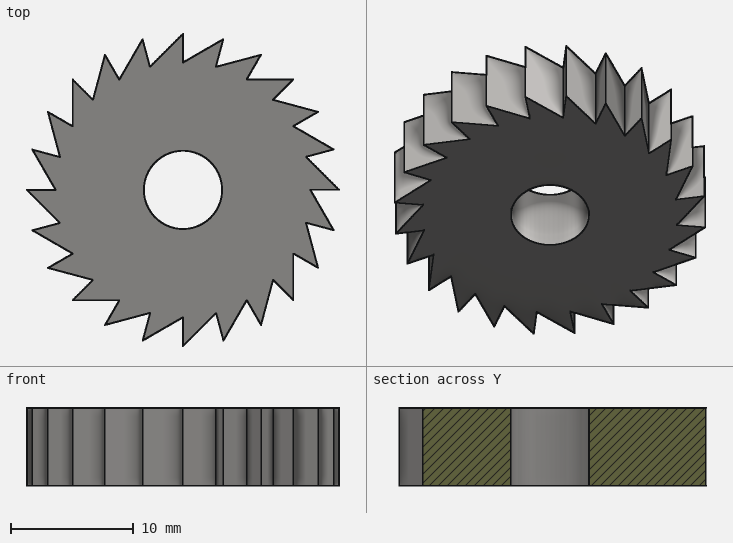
import cadquery as cq
import math

outer_diameter = 25.4
thickness = 6.35
bore_diameter = 6.35
tooth_count = 24
back_angle = 45.0

tip_radius = outer_diameter / 2
tooth_pitch = 360.0 / tooth_count
root_radius = (
    tip_radius
    * math.sin(math.radians(back_angle))
    / math.sin(math.radians(back_angle + tooth_pitch))
)


def polar_point(radius, angle):
    """Point at the given radius and angle in degrees from +X."""
    return (
        radius * math.cos(math.radians(angle)),
        radius * math.sin(math.radians(angle)),
    )


def tooth_outline():
    """Closed outline: each tooth rises radially to its tip, then slopes back to the next root."""
    points = []
    for tooth in range(tooth_count):
        angle = tooth * tooth_pitch
        points.append(polar_point(root_radius, angle))
        points.append(polar_point(tip_radius, angle))
    return points


toothed_disc = cq.Workplane("XY").polyline(tooth_outline()).close().extrude(thickness)

result = toothed_disc.faces(">Z").workplane(origin=(0, 0, thickness)).hole(bore_diameter)